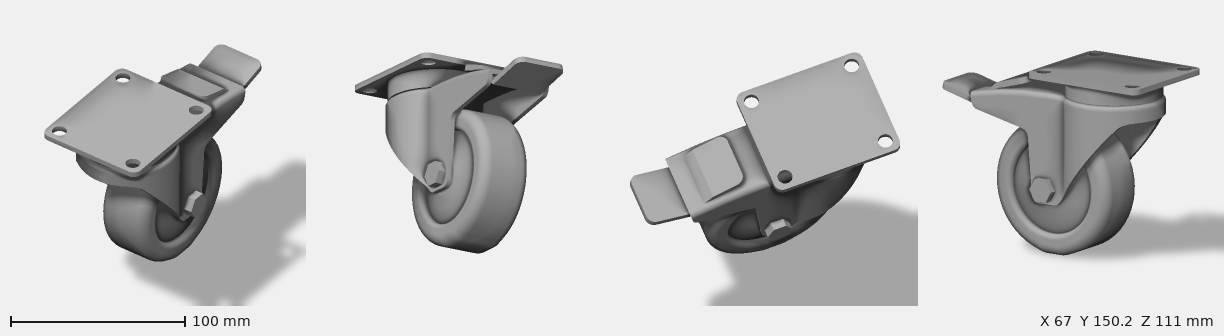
import cadquery as cq
import math


CLEARANCE = 1.5

PLATE_WIDTH = 67.0
PLATE_LENGTH = 77.4
PLATE_THICKNESS = 3.3
PLATE_CORNER_RADIUS = 5.0
HOLE_SPACING_X = 52.0
HOLE_SPACING_Y = 61.9
HOLE_DIAMETER = 8.5

HEAD_RADIUS = 28.4
HEAD_BOTTOM = -14.1
NECK_RADIUS = 26.7

SHEET = 3.0
CROWN_RADIUS = 29.8
CHANNEL_HALF_WIDTH = 20.7
CHANNEL_BLEND_RADIUS = 5.5
FORK_TOP = -14.6
FORK_TOP_ROUND = 3.0
CROWN_BOTTOM = -25.0
ROOF_BEND_START = 34.9
ROOF_BEND_RADIUS = 219.4
ROOF_BEND_ANGLE = 12.2
ROOF_TAIL_LENGTH = 5.7
TAIL_HEIGHT = 9.2
REAR_LEG_ROOT = (46.3, -37.9)
REAR_LEG_FOOT_Y = 42.8
FRONT_LEG_FOOT_Y = 25.7
FRONT_LEG_ROOT_Y = -20.7
LEG_BOTTOM = -79.6
TAIL_CORNER_RADIUS = 4.5
REAR_LEG_ROOT_RADIUS = 5.0
FOOT_CORNER_RADIUS = 5.0
FRONT_LEG_ROOT_RADIUS = 9.9

AXLE_Y = 34.0
AXLE_Z = -70.9
TYRE_RADIUS = 40.0
TYRE_HALF_WIDTH = 16.1
TYRE_ROUND = 6.0
FLAT_DEPTH = 40.1
FLAT_RAMP_ANGLE = 20.7
FLAT_EDGE_RADIUS = 12.0
RECESS_RADIUS = 27.3
RECESS_LIP_ROUND = 3.2
RECESS_DEPTH = 3.8
HUB_RADIUS = 11.1
HUB_HALF_WIDTH = CHANNEL_HALF_WIDTH - SHEET
BOLT_HALF_LENGTH = 25.7
BOLT_ACROSS_FLATS = 13.0

PEDAL_WIDTH = 32.3
PEDAL_THICKNESS = 3.5
PEDAL_CORNER_RADIUS = 5.0
PEDAL_TOP_POINTS = [(51.5, -8.1), (71.4, -14.0), (85.0, -25.5), (110.7, -19.1)]


def make_plate():
    plate = (
        cq.Workplane("XY", origin=(0, 0, -PLATE_THICKNESS))
        .rect(PLATE_WIDTH, PLATE_LENGTH)
        .extrude(PLATE_THICKNESS)
        .edges("|Z")
        .fillet(PLATE_CORNER_RADIUS)
    )
    holes = (
        cq.Workplane("XY")
        .rect(HOLE_SPACING_X, HOLE_SPACING_Y, forConstruction=True)
        .vertices()
        .circle(HOLE_DIAMETER / 2)
        .extrude(-PLATE_THICKNESS)
    )
    return plate.cut(holes)


def make_head():
    head = cq.Workplane("XY").circle(HEAD_RADIUS).extrude(HEAD_BOTTOM)
    neck = cq.Workplane("XY").circle(NECK_RADIUS).extrude(FORK_TOP - SHEET / 2)
    return head.union(neck)


def fork_plan(inset):
    """Full-height prism of the fork's plan outline, moved inwards by inset."""
    height = -LEG_BOTTOM
    half_width = CHANNEL_HALF_WIDTH - inset
    crown = cq.Workplane("XY").circle(CROWN_RADIUS - inset).extrude(-height)
    channel = (
        cq.Workplane("XY")
        .rect(2 * half_width, PLATE_LENGTH + CROWN_RADIUS)
        .extrude(-height)
        .translate((0, (PLATE_LENGTH + CROWN_RADIUS) / 2, 0))
    )
    prism = crown.union(channel)
    corner_y = math.sqrt((CROWN_RADIUS - inset) ** 2 - half_width**2)
    reach = half_width + CLEARANCE
    around_corners = cq.selectors.BoxSelector(
        (-reach, corner_y - CLEARANCE, -height), (reach, corner_y + CLEARANCE, 0)
    )
    blend_edges = prism.edges("|Z").edges(around_corners)
    return blend_edges.fillet(CHANNEL_BLEND_RADIUS + inset)


def fork_roof_points(inset):
    """Start, middle and end of the roof bend, then the rear end of the roof."""
    radius = ROOF_BEND_RADIUS - inset
    centre_z = FORK_TOP - ROOF_BEND_RADIUS

    def on_bend(angle):
        return (ROOF_BEND_START + radius * math.sin(angle), centre_z + radius * math.cos(angle))

    bend = math.radians(ROOF_BEND_ANGLE)
    end = on_bend(bend)
    tail = (end[0] + ROOF_TAIL_LENGTH * math.cos(bend), end[1] - ROOF_TAIL_LENGTH * math.sin(bend))
    return on_bend(0), on_bend(bend / 2), end, tail


def fork_side():
    """Solid of the fork's side outline, wider than the fork."""
    bend_start, bend_middle, bend_end, tail_top = fork_roof_points(0)
    bend = math.radians(ROOF_BEND_ANGLE)
    tail_bottom = (tail_top[0] - TAIL_HEIGHT * math.sin(bend), tail_top[1] - TAIL_HEIGHT * math.cos(bend))
    front = -CROWN_RADIUS - CLEARANCE
    corner_radii = [
        (tail_bottom, TAIL_CORNER_RADIUS),
        (REAR_LEG_ROOT, REAR_LEG_ROOT_RADIUS),
        ((REAR_LEG_FOOT_Y, LEG_BOTTOM), FOOT_CORNER_RADIUS),
        ((FRONT_LEG_FOOT_Y, LEG_BOTTOM), FOOT_CORNER_RADIUS),
        ((FRONT_LEG_ROOT_Y, CROWN_BOTTOM), FRONT_LEG_ROOT_RADIUS),
    ]
    outline = (
        cq.Workplane("YZ")
        .moveTo(front, FORK_TOP)
        .lineTo(*bend_start)
        .threePointArc(bend_middle, bend_end)
        .lineTo(*tail_top)
    )
    for corner, _ in corner_radii:
        outline = outline.lineTo(*corner)
    side = outline.lineTo(front, CROWN_BOTTOM).close().extrude(CROWN_RADIUS + CLEARANCE, both=True)
    for (y, z), radius in corner_radii:
        side = side.edges(cq.selectors.NearestToPointSelector((0, y, z))).fillet(radius)
    return side


def fork_space():
    """Space below the fork roof, open at the bottom and at the rear."""
    bend_start, bend_middle, bend_end, tail = fork_roof_points(SHEET)
    beyond = (
        tail[0] + CLEARANCE,
        tail[1] - CLEARANCE * math.tan(math.radians(ROOF_BEND_ANGLE)),
    )
    below_roof = (
        cq.Workplane("YZ")
        .moveTo(-CROWN_RADIUS, FORK_TOP - SHEET)
        .lineTo(*bend_start)
        .threePointArc(bend_middle, bend_end)
        .lineTo(*beyond)
        .lineTo(beyond[0], LEG_BOTTOM)
        .lineTo(-CROWN_RADIUS, LEG_BOTTOM)
        .close()
        .extrude(CROWN_RADIUS, both=True)
    )
    return fork_plan(SHEET).intersect(below_roof)


def make_fork():
    body = fork_plan(0).intersect(fork_side())
    rim = body.faces(cq.selectors.NearestToPointSelector((0, 0, FORK_TOP))).edges("<Y")
    body = rim.fillet(FORK_TOP_ROUND)
    return body.cut(fork_space())


def make_tyre():
    """Tyre disc with a small flat at the bottom, joined to the tread by tangent ramps."""
    ramp = math.radians(FLAT_RAMP_ANGLE)
    ramp_start = (TYRE_RADIUS * math.sin(ramp), -TYRE_RADIUS * math.cos(ramp))
    flat_end = (TYRE_RADIUS - FLAT_DEPTH * math.cos(ramp)) / math.sin(ramp)
    tyre = (
        cq.Workplane("YZ")
        .moveTo(*ramp_start)
        .threePointArc((0, TYRE_RADIUS), (-ramp_start[0], ramp_start[1]))
        .lineTo(-flat_end, -FLAT_DEPTH)
        .lineTo(flat_end, -FLAT_DEPTH)
        .close()
        .extrude(TYRE_HALF_WIDTH, both=True)
    )
    for y in (-flat_end, flat_end):
        corner = cq.selectors.NearestToPointSelector((0, y, -FLAT_DEPTH))
        tyre = tyre.edges(corner).fillet(FLAT_EDGE_RADIUS)
    return tyre.faces("<X or >X").edges().fillet(TYRE_ROUND)


def make_wheel():
    cone_foot = TYRE_HALF_WIDTH - RECESS_DEPTH
    lip_start = (TYRE_HALF_WIDTH - RECESS_LIP_ROUND, RECESS_RADIUS)
    lip_end = (TYRE_HALF_WIDTH, RECESS_RADIUS + RECESS_LIP_ROUND)
    recess = (
        cq.Workplane("XY")
        .moveTo(cone_foot, 0)
        .lineTo(cone_foot, RECESS_RADIUS)
        .lineTo(*lip_start)
        .radiusArc(lip_end, -RECESS_LIP_ROUND)
        .lineTo(TYRE_HALF_WIDTH, 0)
        .close()
        .revolve(360, (0, 0, 0), (1, 0, 0))
    )
    wheel = make_tyre().cut(recess).cut(recess.mirror("YZ"))
    web = (
        cq.Workplane("XY")
        .polyline([
            (-cone_foot, 0),
            (-HUB_HALF_WIDTH, 0),
            (-HUB_HALF_WIDTH, HUB_RADIUS),
            (-cone_foot, RECESS_RADIUS),
            (cone_foot, RECESS_RADIUS),
            (HUB_HALF_WIDTH, HUB_RADIUS),
            (HUB_HALF_WIDTH, 0),
        ])
        .close()
        .revolve(360, (0, 0, 0), (1, 0, 0))
    )
    return wheel.union(web).translate((0, AXLE_Y, AXLE_Z))


def make_bolt():
    across_corners = BOLT_ACROSS_FLATS / math.cos(math.pi / 6)
    return (
        cq.Workplane("YZ", origin=(0, AXLE_Y, AXLE_Z))
        .polygon(6, across_corners)
        .extrude(BOLT_HALF_LENGTH, both=True)
    )


def pedal_underside():
    """Top line of the pedal moved down by its thickness, with mitred bends."""
    points = PEDAL_TOP_POINTS
    headings = [math.atan2(b[1] - a[1], b[0] - a[0]) for a, b in zip(points, points[1:])]
    before = headings[:1] + headings
    after = headings + headings[-1:]
    underside = []
    for (y, z), first, second in zip(points, before, after):
        middle = (first + second) / 2
        reach = PEDAL_THICKNESS / math.cos((second - first) / 2)
        underside.append((y + reach * math.sin(middle), z - reach * math.cos(middle)))
    return underside


def make_pedal():
    underside = pedal_underside()
    pedal = (
        cq.Workplane("YZ")
        .polyline(PEDAL_TOP_POINTS + underside[::-1])
        .close()
        .extrude(PEDAL_WIDTH / 2, both=True)
    )
    for end in (0, -1):
        top, bottom = PEDAL_TOP_POINTS[end], underside[end]
        y, z = (top[0] + bottom[0]) / 2, (top[1] + bottom[1]) / 2
        for x in (-PEDAL_WIDTH / 2, PEDAL_WIDTH / 2):
            corner = cq.selectors.NearestToPointSelector((x, y, z))
            pedal = pedal.edges(corner).fillet(PEDAL_CORNER_RADIUS)
    return pedal


result = make_plate()
for component in (make_head(), make_fork(), make_pedal(), make_wheel(), make_bolt()):
    result = result.union(component)